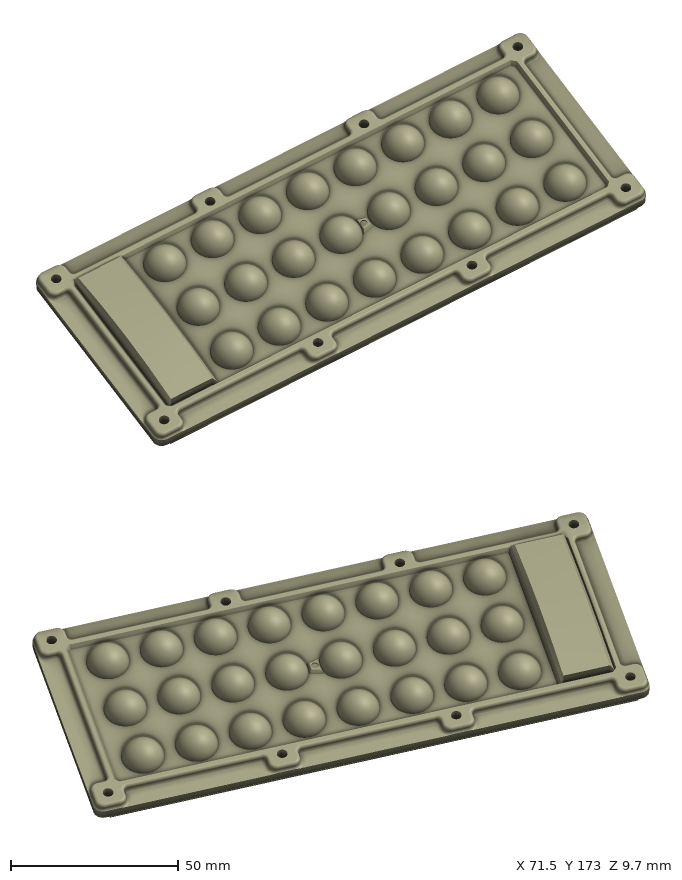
import cadquery as cq
import math

LENGTH_X = 71.53
LENGTH_Y = 173.03

BASE_BOTTOM_Z = 0.45
PANEL_Z = 4.0
PARTING_Z = 2.8
LEDGE_Z = 3.3
RIM_Z = 5.6
DOME_TOP_Z = 9.7

BASE_CORNER_RADIUS = 3.0
BASE_DRAFT = 1.5

RAIL_WIDTH = 1.1
RAIL_LENGTH = 164.6

RIM_OUTER_X = 59.4
RIM_OUTER_Y = 160.0
RIM_TOP_FILLET = 1.0
RIM_ROOT_FILLET = 1.0

OPENING_X = 55.0
OPENING_Y = 156.4
OPENING_SLOPE = 1.0
OPENING_CORNER_CUT = 1.4
OPENING_FLOOR_FILLET = 0.4

HOLE_SPACING_X = 61.3
HOLE_SPACING_Y = 54.2
HOLE_DIAMETER = 3.2
HOLES_PER_SIDE = 4
PAD_INSET = 0.5
PAD_HALF_WIDTH = 4.95
PAD_CORNER_RADIUS = 2.5
PAD_INNER_CORNER_RADIUS = 1.3

DOME_RADIUS = 6.6
DOME_COLUMNS = 3
DOME_ROWS = 8
DOME_PITCH_X = 19.0
DOME_PITCH_Y = 16.77
DOME_CENTRE_Y = 8.45

BOSS_FRONT_Y = 6.1
BOSS_BACK_Y = 10.4
BOSS_FRONT_WIDTH = 6.2
BOSS_BACK_WIDTH = 4.0
BOSS_HEIGHT = 1.0
BOSS_SLOPE = 0.9
BOSS_DIMPLE_Y = 8.05
BOSS_DIMPLE_DIAMETER = 2.2
BOSS_DIMPLE_DEPTH = 0.5

BLOCK_FRONT_Y = -77.2
BLOCK_BACK_Y = -60.6
BLOCK_FRONT_SLOPE = 1.0
BLOCK_BACK_SLOPE = 1.1
BLOCK_BACK_FOOT_Y = -59.8
BLOCK_BACK_FOOT_RISE = 0.1
BLOCK_LOWER_HALF_WIDTH = 27.3
BLOCK_LOWER_EDGE_Z = 6.3
BLOCK_LOWER_CROWN_Z = 7.7
BLOCK_UPPER_HALF_WIDTH = 26.3
BLOCK_UPPER_EDGE_Z = 7.5
BLOCK_UPPER_CROWN_Z = 9.4

EDGE_PICK_MARGIN = 0.01


def centred(count, pitch):
    """Positions of evenly spaced items, centred on zero."""
    return [(i - (count - 1) / 2) * pitch for i in range(count)]


def slab(size_x, size_y, bottom_z, top_z):
    """Box centred in X and Y between two heights."""
    return (
        cq.Workplane("XY")
        .workplane(offset=bottom_z)
        .rect(size_x, size_y)
        .extrude(top_z - bottom_z)
    )


def drafted_outline(height):
    """Base outline at the parting plane, narrowing with draft up (+) or down (-)."""
    return (
        cq.Workplane("XY")
        .workplane(offset=PARTING_Z)
        .sketch()
        .rect(LENGTH_X, LENGTH_Y)
        .vertices()
        .fillet(BASE_CORNER_RADIUS)
        .finalize()
        .extrude(height, taper=BASE_DRAFT)
    )


def base_plate():
    """Lower half of the plate, below the parting plane."""
    return drafted_outline(BASE_BOTTOM_Z - PARTING_Z)


def rails():
    """Low rails under the two long edges."""
    offset_x = (LENGTH_X - RAIL_WIDTH) / 2
    return (
        cq.Workplane("XY")
        .pushPoints([(-offset_x, 0), (offset_x, 0)])
        .rect(RAIL_WIDTH, RAIL_LENGTH)
        .extrude(BASE_BOTTOM_Z)
    )


def screw_points():
    """Centres of the screw holes."""
    columns = centred(2, HOLE_SPACING_X)
    rows = centred(HOLES_PER_SIDE, HOLE_SPACING_Y)
    return [(x, y) for x in columns for y in rows]


def screw_pad(x, y):
    """Rounded pad from near the outer edge inwards past the rim wall."""
    limit_x = LENGTH_X / 2 - PAD_INSET
    limit_y = LENGTH_Y / 2 - PAD_INSET
    low_x = max(x - PAD_HALF_WIDTH, -limit_x)
    high_x = min(x + PAD_HALF_WIDTH, limit_x)
    low_y = max(y - PAD_HALF_WIDTH, -limit_y)
    high_y = min(y + PAD_HALF_WIDTH, limit_y)
    pad = (
        cq.Workplane("XY")
        .workplane(offset=LEDGE_Z)
        .center((low_x + high_x) / 2, (low_y + high_y) / 2)
        .rect(high_x - low_x, high_y - low_y)
        .extrude(RIM_Z - LEDGE_Z)
    )
    return pad.edges("|Z").fillet(PAD_CORNER_RADIUS)


def rim_junctions():
    """Points where the pad sides meet the rim walls."""
    rim_x = RIM_OUTER_X / 2
    rim_y = RIM_OUTER_Y / 2
    points = []
    for x, y in screw_points():
        for side_y in (y - PAD_HALF_WIDTH, y + PAD_HALF_WIDTH):
            if abs(side_y) < rim_y:
                points.append((math.copysign(rim_x, x), side_y))
        if abs(y) + PAD_HALF_WIDTH > rim_y:
            inner_side_x = math.copysign(abs(x) - PAD_HALF_WIDTH, x)
            points.append((inner_side_x, math.copysign(rim_y, y)))
    return points


def raised_rim():
    """Rim block and screw pads, rounded at the top and blended into the ledge."""
    rim = slab(RIM_OUTER_X, RIM_OUTER_Y, LEDGE_Z, RIM_Z)
    for x, y in screw_points():
        rim = rim.union(screw_pad(x, y))
    junctions = cq.Workplane("XY").newObject([])
    for x, y in rim_junctions():
        mid_point = (x, y, (LEDGE_Z + RIM_Z) / 2)
        junctions = junctions.add(rim.edges(cq.selectors.NearestToPointSelector(mid_point)))
    rim = rim.newObject(junctions.vals()).fillet(PAD_INNER_CORNER_RADIUS)
    rim = rim.faces(">Z").edges().fillet(RIM_TOP_FILLET)
    margin = 2 * RIM_ROOT_FILLET
    ledge = slab(LENGTH_X + margin, LENGTH_Y + margin, PARTING_Z, LEDGE_Z)
    blended = ledge.union(rim)
    wall_foot = cq.selectors.BoxSelector(
        (-LENGTH_X / 2, -LENGTH_Y / 2, LEDGE_Z - EDGE_PICK_MARGIN),
        (LENGTH_X / 2, LENGTH_Y / 2, LEDGE_Z + EDGE_PICK_MARGIN),
    )
    blended = blended.edges(wall_foot).fillet(RIM_ROOT_FILLET)
    return blended.intersect(drafted_outline(RIM_Z - PARTING_Z))


def panel_opening():
    """Recess inside the rim, widening towards the top, with its corners cut off."""
    depth = RIM_Z - PANEL_Z
    opening = (
        cq.Workplane("XY")
        .workplane(offset=RIM_Z)
        .sketch()
        .rect(OPENING_X, OPENING_Y)
        .vertices()
        .chamfer(OPENING_CORNER_CUT)
        .finalize()
        .extrude(-depth, taper=math.degrees(math.atan(OPENING_SLOPE / depth)))
    )
    return opening.faces("<Z").edges().fillet(OPENING_FLOOR_FILLET)


def lens_domes():
    """Grid of spherical caps rooted in the panel."""
    centre_z = DOME_TOP_Z - DOME_RADIUS
    points = [
        (x, DOME_CENTRE_Y + y)
        for x in centred(DOME_COLUMNS, DOME_PITCH_X)
        for y in centred(DOME_ROWS, DOME_PITCH_Y)
    ]
    cap = (
        cq.Workplane("XY")
        .workplane(offset=centre_z)
        .sphere(DOME_RADIUS)
        .intersect(slab(LENGTH_X, LENGTH_Y, LEDGE_Z, DOME_TOP_Z + DOME_RADIUS))
    )
    return cq.Workplane("XY").pushPoints(points).eachpoint(cap.solids().val())


def gate_boss():
    """Low sloping boss with a round dimple."""
    boss = (
        cq.Workplane("XY")
        .workplane(offset=PANEL_Z)
        .moveTo(-BOSS_FRONT_WIDTH / 2, BOSS_FRONT_Y)
        .lineTo(BOSS_FRONT_WIDTH / 2, BOSS_FRONT_Y)
        .lineTo(BOSS_BACK_WIDTH / 2, BOSS_BACK_Y)
        .lineTo(-BOSS_BACK_WIDTH / 2, BOSS_BACK_Y)
        .close()
        .extrude(BOSS_HEIGHT, taper=math.degrees(math.atan(BOSS_SLOPE / BOSS_HEIGHT)))
    )
    dimple = (
        cq.Workplane("XY")
        .workplane(offset=PANEL_Z + BOSS_HEIGHT)
        .center(0, BOSS_DIMPLE_Y)
        .circle(BOSS_DIMPLE_DIAMETER / 2)
        .extrude(-BOSS_DIMPLE_DEPTH)
    )
    return boss.cut(dimple)


def crowned_section(y, half_width, edge_z, crown_z):
    """Closed upright wire at Y with straight sides and an arched top."""
    left = cq.Vector(-half_width, y, edge_z)
    right = cq.Vector(half_width, y, edge_z)
    left_foot = cq.Vector(-half_width, y, LEDGE_Z)
    right_foot = cq.Vector(half_width, y, LEDGE_Z)
    crown = cq.Vector(0, y, crown_z)
    return cq.Wire.assembleEdges([
        cq.Edge.makeLine(left_foot, left),
        cq.Edge.makeThreePointArc(left, crown, right),
        cq.Edge.makeLine(right, right_foot),
        cq.Edge.makeLine(right_foot, left_foot),
    ])


def name_block():
    """Arched block: low arches near both ends, a taller arch between and a sloping back foot."""
    lower = (BLOCK_LOWER_HALF_WIDTH, BLOCK_LOWER_EDGE_Z, BLOCK_LOWER_CROWN_Z)
    upper = (BLOCK_UPPER_HALF_WIDTH, BLOCK_UPPER_EDGE_Z, BLOCK_UPPER_CROWN_Z)
    foot = (BLOCK_LOWER_HALF_WIDTH, PANEL_Z, PANEL_Z + BLOCK_BACK_FOOT_RISE)
    sections = [
        crowned_section(BLOCK_FRONT_Y, *lower),
        crowned_section(BLOCK_FRONT_Y + BLOCK_FRONT_SLOPE, *upper),
        crowned_section(BLOCK_BACK_Y - BLOCK_BACK_SLOPE, *upper),
        crowned_section(BLOCK_BACK_Y, *lower),
        crowned_section(BLOCK_BACK_FOOT_Y, *foot),
    ]
    return cq.Workplane(obj=cq.Solid.makeLoft(sections, True))


body = base_plate().union(raised_rim()).cut(panel_opening())
body = body.union(rails()).union(lens_domes()).union(gate_boss()).union(name_block())
holes = cq.Workplane("XY").pushPoints(screw_points()).circle(HOLE_DIAMETER / 2).extrude(DOME_TOP_Z)
result = body.cut(holes)